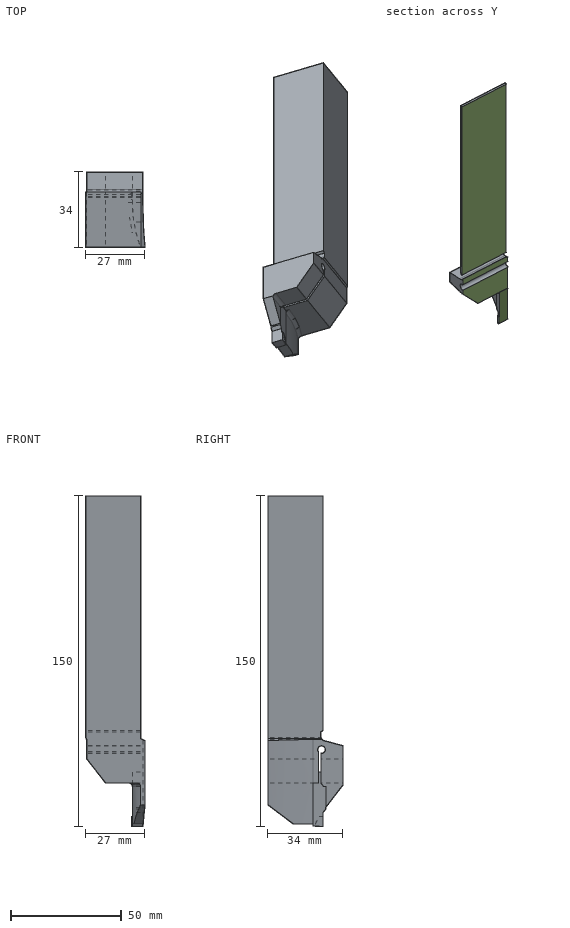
import cadquery as cq

LENGTH = 150.0
SHANK_SIDE = 25.0
HEAD_WIDTH = 27.0
HEAD_HEIGHT = 34.0

HEAD_INSET = 0.5
SHOULDER_Z = 40.4
SHOULDER_DROP = 0.9
OUTER_SHOULDER_Z = 39.9
CORNER_TOP_Z = 30.8
CORNER_FOOT_X = 9.0
HEAD_BOTTOM_Z = 19.8

NECK_Y = 24.0
NECK_TOP_Z = 43.6
NECK_START_Z = 42.9
NECK_END_Z = 41.0
NECK_ARC_Y = 24.6
NECK_ARC_Z = 39.6
JAW_ROOT_Y = 26.2
JAW_ROOT_Z = 38.8
JAW_TOP_Z = 36.8
JAW_BOTTOM_Z = 18.9
JAW_TIP_Z = 8.7
SUPPORT_BOTTOM_Z = 1.2
SUPPORT_TOE_Y = 11.5
SUPPORT_FRONT_Z = 9.9

BLADE_INNER_X = 21.2
BLADE_OUTER_X = 26.0
BLADE_FRONT_X = 24.9
BLADE_FILLET = 1.6

HOLE_Y = 24.3
HOLE_Z = 35.0
HOLE_RADIUS = 1.6
SLIT_LOW_Y = 23.0
SLIT_HIGH_Y = 24.0

INSERT_SEAT_Y = 20.4
INSERT_TOP_Y = 26.2
INSERT_SHOULDER_Z = 18.2
INSERT_SHOULDER_Y = 25.4
INSERT_TAIL_Z = 24.9
RAKE_TOP_Z = 8.0
RAKE_Z = 6.5
EDGE_RELIEF = 0.3
TIP_SIDE = 0.5
TIP_TOP_Z = 4.6
TIP_SHOULDER_Y = 23.4
TIP_BASE_Y = 21.6
TIP_BASE_Z = 1.5

MARGIN = 3.0


def along_x(points, start_x, end_x):
    """Extrude a closed (Y, Z) outline from start_x to end_x."""
    outline = cq.Workplane("YZ", origin=(start_x, 0, 0)).polyline(points).close()
    return outline.extrude(end_x - start_x)


def arc_x(y, tangent_x, front_x):
    """X of the arc that is parallel to Y at the insert seat and meets the front at front_x."""
    bulge = front_x - tangent_x
    radius = (INSERT_SEAT_Y**2 + bulge**2) / (2 * bulge)
    return tangent_x + radius - (radius**2 - (INSERT_SEAT_Y - y)**2) ** 0.5


def left_of_blade_face(tangent_x, front_x, far_x, bottom_z, top_z):
    """Block between far_x and a face that is flat at the insert and curved in front of it."""
    front_y = -MARGIN
    mid_y = (INSERT_SEAT_Y + front_y) / 2
    back_y = HEAD_HEIGHT + MARGIN
    return (
        cq.Workplane("XY", origin=(0, 0, bottom_z))
        .moveTo(far_x, front_y)
        .lineTo(arc_x(front_y, tangent_x, front_x), front_y)
        .threePointArc((arc_x(mid_y, tangent_x, front_x), mid_y), (tangent_x, INSERT_SEAT_Y))
        .lineTo(tangent_x, back_y)
        .lineTo(far_x, back_y)
        .close()
        .extrude(top_z - bottom_z)
    )


def make_side_profile():
    """Shank and head outline in the YZ plane, through the full width."""
    return (
        cq.Workplane("YZ")
        .moveTo(0, LENGTH)
        .lineTo(0, SUPPORT_FRONT_Z)
        .lineTo(SUPPORT_TOE_Y, SUPPORT_BOTTOM_Z)
        .lineTo(INSERT_SEAT_Y, SUPPORT_BOTTOM_Z)
        .lineTo(INSERT_TOP_Y, JAW_TIP_Z)
        .lineTo(HEAD_HEIGHT, JAW_BOTTOM_Z)
        .lineTo(HEAD_HEIGHT, JAW_TOP_Z)
        .lineTo(JAW_ROOT_Y, JAW_ROOT_Z)
        .threePointArc((NECK_ARC_Y, NECK_ARC_Z), (NECK_Y, NECK_END_Z))
        .lineTo(NECK_Y, NECK_START_Z)
        .lineTo(SHANK_SIDE, NECK_TOP_Z)
        .lineTo(SHANK_SIDE, LENGTH)
        .close()
        .extrude(HEAD_WIDTH)
    )


def make_front_profile():
    """Shank and head outline in the XZ plane, through the full height."""
    inner_head_top_z = SHOULDER_Z - SHOULDER_DROP
    return (
        cq.Workplane("XZ")
        .polyline([
            (0, LENGTH),
            (0, SHOULDER_Z),
            (HEAD_INSET, inner_head_top_z),
            (HEAD_INSET, CORNER_TOP_Z),
            (CORNER_FOOT_X, HEAD_BOTTOM_Z),
            (CORNER_FOOT_X, 0),
            (HEAD_WIDTH, 0),
            (HEAD_WIDTH, OUTER_SHOULDER_Z - SHOULDER_DROP),
            (SHANK_SIDE, OUTER_SHOULDER_Z),
            (SHANK_SIDE, LENGTH),
        ])
        .close()
        .extrude(-HEAD_HEIGHT)
    )


def make_blade_undercut():
    """Space beside the blade, rounded where the blade meets the head."""
    space = left_of_blade_face(BLADE_INNER_X, BLADE_FRONT_X, -MARGIN, -MARGIN, HEAD_BOTTOM_Z)
    flat_edge = cq.NearestToPointSelector((BLADE_INNER_X, HEAD_HEIGHT - MARGIN, HEAD_BOTTOM_Z))
    curved_edge = cq.NearestToPointSelector((BLADE_INNER_X, INSERT_SEAT_Y / 2, HEAD_BOTTOM_Z))
    return space.faces(">Z").edges(flat_edge + curved_edge).fillet(BLADE_FILLET)


def make_clamp_slit():
    """Relief hole with the slit that lets the upper jaw flex."""
    slit = along_x(
        [
            (SLIT_LOW_Y, HEAD_BOTTOM_Z),
            (SLIT_HIGH_Y, HEAD_BOTTOM_Z),
            (SLIT_HIGH_Y, HOLE_Z),
            (SLIT_LOW_Y, HOLE_Z),
        ],
        -MARGIN,
        HEAD_WIDTH + MARGIN,
    )
    hole = cq.Workplane("YZ").center(HOLE_Y, HOLE_Z).circle(HOLE_RADIUS).extrude(HEAD_WIDTH)
    return slit.union(hole)


def insert_outline(low_points):
    """Insert outline: shared seat faces and tail, closed by low_points at the bottom."""
    return [
        (INSERT_SEAT_Y, HEAD_BOTTOM_Z),
        (SLIT_LOW_Y, HEAD_BOTTOM_Z),
        (SLIT_LOW_Y, INSERT_TAIL_Z),
        (SLIT_HIGH_Y, INSERT_TAIL_Z),
        (SLIT_HIGH_Y, HEAD_BOTTOM_Z),
        (INSERT_SHOULDER_Y, INSERT_SHOULDER_Z),
        (INSERT_TOP_Y, INSERT_SHOULDER_Z),
    ] + low_points


def make_holder():
    holder = make_side_profile().intersect(make_front_profile())
    outer_limit = left_of_blade_face(BLADE_OUTER_X, HEAD_WIDTH, -MARGIN, 0, SHOULDER_Z)
    shank_limit = (
        cq.Workplane("XY", origin=(0, 0, SHOULDER_Z))
        .rect(SHANK_SIDE, SHANK_SIDE, centered=False)
        .extrude(LENGTH - SHOULDER_Z)
    )
    holder = holder.intersect(outer_limit.union(shank_limit))
    seat = insert_outline([(INSERT_TOP_Y, 0), (INSERT_SEAT_Y, 0)])
    return (
        holder.cut(make_blade_undercut())
        .cut(make_clamp_slit())
        .cut(along_x(seat, 0, HEAD_WIDTH))
    )


def make_insert():
    low_end = [
        (INSERT_TOP_Y, RAKE_TOP_Z),
        (SHANK_SIDE, RAKE_Z),
        (SHANK_SIDE, 0),
        (INSERT_SEAT_Y, EDGE_RELIEF),
    ]
    insert = along_x(insert_outline(low_end), BLADE_INNER_X, BLADE_OUTER_X)
    tip_base_end_z = EDGE_RELIEF * (SHANK_SIDE - TIP_BASE_Y) / (SHANK_SIDE - INSERT_SEAT_Y)
    tip_outline = [
        (SHANK_SIDE, 0),
        (SHANK_SIDE, TIP_TOP_Z),
        (TIP_SHOULDER_Y, TIP_TOP_Z),
        (TIP_BASE_Y, TIP_BASE_Z),
        (TIP_BASE_Y, tip_base_end_z),
    ]
    tip = along_x(tip_outline, BLADE_INNER_X - TIP_SIDE, BLADE_OUTER_X)
    return insert.union(tip)


holder = make_holder()
insert = make_insert()
result = cq.Compound.makeCompound([holder.solids().val(), insert.solids().val()])